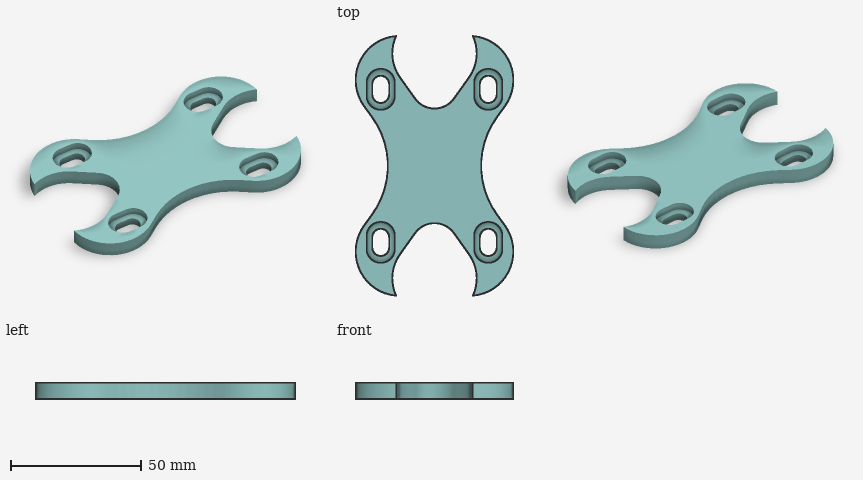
import cadquery as cq
import math

length = 99.75
width = 60.6
thickness = 6.4
waist_width = 35.9
half_length = length / 2
waist_edge = waist_width / 2

lobe_radius = 17.0
lobe_y = 32.9
waist_radius = 31.9
notch_mouth_radius = 16.0
notch_mouth_width = 32.3
notch_mouth_y = 43.2
notch_root_radius = 9.2
notch_root_y = 22.0

slot_spacing_x = 41.3
slot_spacing_y = 58.8
slot_width = 6.4
slot_length = 10.4
recess_width = 10.9
recess_length = 15.8
recess_depth = 3.2

lobe_center = (width / 2 - lobe_radius, lobe_y)
waist_center = (waist_edge + waist_radius, 0)
mouth_center = (notch_mouth_width / 2 - notch_mouth_radius, notch_mouth_y)
root_center = (0, notch_root_y + notch_root_radius)


def point_on_circle(center, radius, angle):
    return (center[0] + radius * math.cos(angle), center[1] + radius * math.sin(angle))


def crossing_tangent_angle(center_a, radius_a, center_b, radius_b):
    """Angle on circle A where a line crossing between A and B touches it, B on its clockwise side."""
    dx = center_b[0] - center_a[0]
    dy = center_b[1] - center_a[1]
    return math.atan2(dy, dx) + math.acos((radius_a + radius_b) / math.hypot(dx, dy))


def bounding_tangent_angle(center_a, radius_a, center_b, radius_b):
    """Angle shared by both circles where a line along their clockwise side touches them."""
    dx = center_b[0] - center_a[0]
    dy = center_b[1] - center_a[1]
    return math.atan2(dy, dx) - math.acos((radius_a - radius_b) / math.hypot(dx, dy))


def quarter_plate():
    """+X, +Y quarter: waist, lobe, pointed tip and half of the end notch."""
    waist_angle = crossing_tangent_angle(waist_center, waist_radius, lobe_center, lobe_radius)
    flank_angle = bounding_tangent_angle(root_center, notch_root_radius, mouth_center, notch_mouth_radius)
    tip_x = mouth_center[0] + math.sqrt(notch_mouth_radius**2 - (half_length - notch_mouth_y) ** 2)
    tip = (tip_x, half_length)

    lobe_start_angle = waist_angle - math.pi
    lobe_start = point_on_circle(lobe_center, lobe_radius, lobe_start_angle)
    tip_angle = math.atan2(half_length - lobe_y, tip_x - lobe_center[0])
    waist_middle_angle = (math.pi + waist_angle) / 2
    lobe_middle_angle = (lobe_start_angle + tip_angle) / 2
    root_middle_angle = (flank_angle - math.pi / 2) / 2

    return (
        cq.Workplane("XY")
        .moveTo(0, 0)
        .lineTo(waist_edge, 0)
        .threePointArc(
            point_on_circle(waist_center, waist_radius, waist_middle_angle),
            point_on_circle(waist_center, waist_radius, waist_angle),
        )
        .lineTo(*lobe_start)
        .threePointArc(point_on_circle(lobe_center, lobe_radius, lobe_middle_angle), tip)
        .threePointArc(
            point_on_circle(mouth_center, notch_mouth_radius, 0),
            point_on_circle(mouth_center, notch_mouth_radius, flank_angle),
        )
        .lineTo(*point_on_circle(root_center, notch_root_radius, flank_angle))
        .threePointArc(
            point_on_circle(root_center, notch_root_radius, root_middle_angle),
            (0, notch_root_y),
        )
        .close()
        .extrude(thickness)
    )


def slot_cutters(slot_size_x, slot_size_y, floor_z):
    """Four upright slots from the given floor height to the top face."""
    return (
        cq.Workplane("XY")
        .workplane(offset=floor_z)
        .rarray(slot_spacing_x, slot_spacing_y, 2, 2)
        .slot2D(slot_size_y, slot_size_x, 90)
        .extrude(thickness - floor_z)
    )


quarter = quarter_plate()
half = quarter.union(quarter.mirror("YZ"))
plate = half.union(half.mirror("XZ")).clean()

through_slots = slot_cutters(slot_width, slot_length, 0)
recesses = slot_cutters(recess_width, recess_length, thickness - recess_depth)

result = plate.cut(through_slots).cut(recesses)